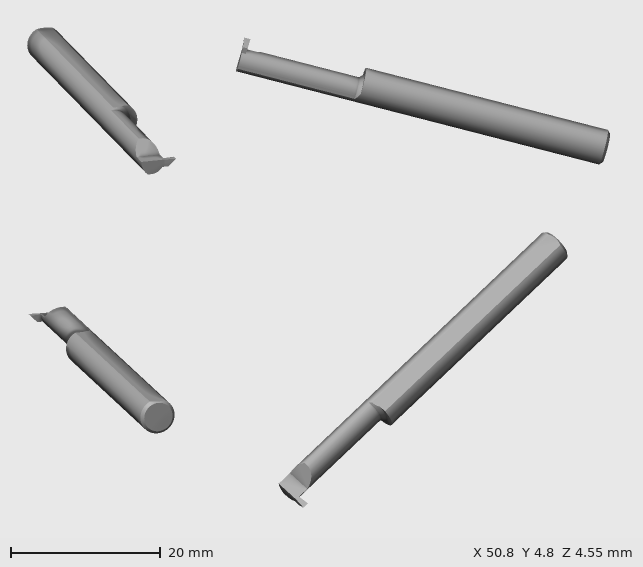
import cadquery as cq

length = 50.8
shank_radius = 2.4
flat_height = 2.15
end_chamfer = 0.4

shoulder_x = 33.9
shoulder_chamfer = 0.55
neck_radius = 1.9
neck_side_y = 0.85
neck_center_y = neck_side_y - neck_radius

ramp_end_x = 48.5

front_clearance = 0.15
tooth_root_width = 0.55
tooth_tip_width = 0.85
tooth_root_x = length - front_clearance - tooth_root_width
tooth_depth = 1.0
tooth_relief = 1.0


def make_shank_stock():
    """Full-length round bar with a chamfered rear end and a flat on top."""
    bar = cq.Workplane("YZ").circle(shank_radius).extrude(length)
    bar = bar.faces("<X").chamfer(end_chamfer)
    above_flat = (
        cq.Workplane("XY")
        .workplane(offset=flat_height)
        .rect(2 * length, 4 * shank_radius)
        .extrude(shank_radius)
    )
    return bar.cut(above_flat)


def neck_section(x, growth):
    """Neck outline at x, enlarged by growth: a half circle with straight sides towards -Y."""
    radius = neck_radius + growth
    open_y = -2 * shank_radius
    return (
        cq.Workplane("YZ", origin=(x, 0, 0))
        .moveTo(open_y, -radius)
        .lineTo(neck_center_y, -radius)
        .threePointArc((neck_center_y + radius, 0), (neck_center_y, radius))
        .lineTo(open_y, radius)
        .close()
    )


def make_neck_envelope():
    """Neck bar with a 45 degree flare where it meets the shoulder."""
    bar = neck_section(shoulder_x, 0).extrude(length - shoulder_x)
    flare_end_x = shoulder_x + shoulder_chamfer
    wires = [
        neck_section(shoulder_x, shoulder_chamfer).wires().val(),
        neck_section(flare_end_x, 0).wires().val(),
    ]
    flare = cq.Workplane(cq.Solid.makeLoft(wires, True))
    return bar.union(flare)


def make_head_clearance():
    """Space above the cutting face and the ramp leading down to it."""
    top_z = 2 * shank_radius
    return (
        cq.Workplane("XZ")
        .moveTo(ramp_end_x, 0)
        .lineTo(ramp_end_x - top_z, top_z)
        .lineTo(2 * length, top_z)
        .lineTo(2 * length, 0)
        .close()
        .extrude(2 * shank_radius, both=True)
    )


def make_tooth():
    """Hooked tooth reaching from the head out to the shank radius on +Y."""
    blank = (
        cq.Workplane("XY")
        .moveTo(tooth_root_x, neck_center_y)
        .lineTo(tooth_root_x, neck_side_y)
        .lineTo(length - tooth_tip_width, shank_radius)
        .lineTo(length, shank_radius)
        .lineTo(length, neck_center_y)
        .close()
        .extrude(-tooth_depth)
    )
    inner_y = 2 * neck_center_y
    relieved_section = (
        cq.Workplane("YZ")
        .moveTo(inner_y, 0)
        .lineTo(shank_radius, 0)
        .lineTo(shank_radius - tooth_relief, -tooth_depth)
        .lineTo(inner_y, -tooth_depth)
        .close()
        .extrude(length)
    )
    return blank.intersect(relieved_section)


def make_front_clearance():
    """Wedge beyond the front face, which slants back from the tooth tip towards -Y."""
    return (
        cq.Workplane("XY")
        .moveTo(length, shank_radius)
        .lineTo(length - front_clearance, neck_side_y)
        .lineTo(length - front_clearance, -2 * shank_radius)
        .lineTo(2 * length, -2 * shank_radius)
        .lineTo(2 * length, shank_radius)
        .close()
        .extrude(2 * shank_radius, both=True)
    )


shank_envelope = cq.Workplane("YZ").circle(2 * shank_radius).extrude(shoulder_x)
stock = make_shank_stock()
body = stock.intersect(shank_envelope).union(stock.intersect(make_neck_envelope()))
head = body.cut(make_head_clearance()).union(make_tooth())
result = head.cut(make_front_clearance())